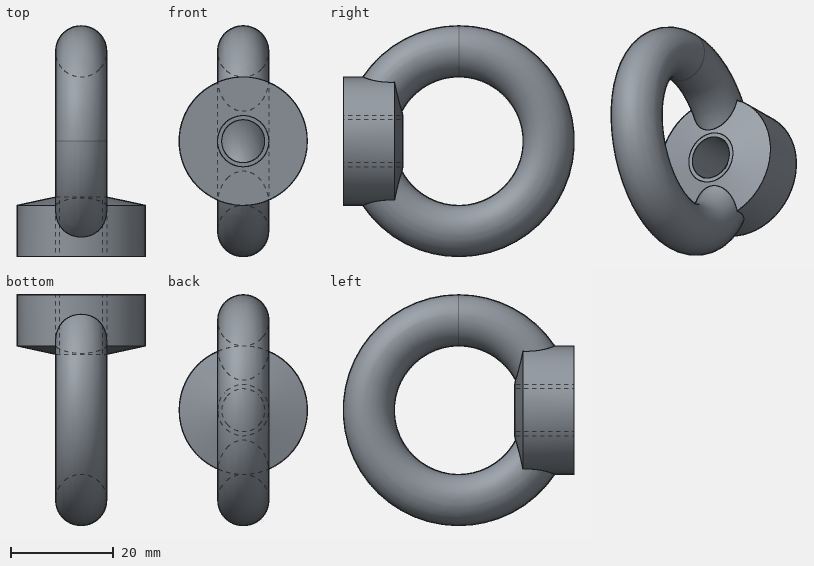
import cadquery as cq

ring_outer_diameter = 45.0
bar_diameter = 10.0
ring_mean_radius = (ring_outer_diameter - bar_diameter) / 2

boss_diameter = 25.0
boss_length = bar_diameter
cone_height = 1.6
boss_base_y = -ring_outer_diameter / 2

sleeve_outer_diameter = bar_diameter
sleeve_bore_diameter = 8.35
sleeve_length = boss_length + cone_height


def make_ring():
    """Closed ring of round bar lying in the YZ plane."""
    return cq.Workplane(
        cq.Solid.makeTorus(ring_mean_radius, bar_diameter / 2, cq.Vector(0, 0, 0), cq.Vector(1, 0, 0))
    )


def make_boss():
    """Disc with a cone on its inner face, ending at the rim of the sleeve bore."""
    boss_radius = boss_diameter / 2
    return (
        cq.Workplane("XY")
        .moveTo(0, boss_base_y)
        .lineTo(boss_radius, boss_base_y)
        .lineTo(boss_radius, boss_base_y + boss_length)
        .lineTo(sleeve_outer_diameter / 2, boss_base_y + sleeve_length)
        .lineTo(0, boss_base_y + sleeve_length)
        .close()
        .revolve(360, (0, 0, 0), (0, 1, 0))
    )


def make_boss_cylinder(diameter):
    """Cylinder along Y over the full depth of the boss."""
    return (
        cq.Workplane("XZ", origin=(0, boss_base_y, 0))
        .circle(diameter / 2)
        .extrude(-sleeve_length)
    )


def make_eye_nut():
    """Ring and boss in one piece, bored to take the sleeve."""
    return make_ring().union(make_boss()).cut(make_boss_cylinder(sleeve_outer_diameter))


def make_sleeve():
    """Tube flush with both ends of the boss bore."""
    return make_boss_cylinder(sleeve_outer_diameter).cut(make_boss_cylinder(sleeve_bore_diameter))


eye_nut = make_eye_nut()
sleeve = make_sleeve()

result = cq.Compound.makeCompound([eye_nut.solids().val(), sleeve.solids().val()])